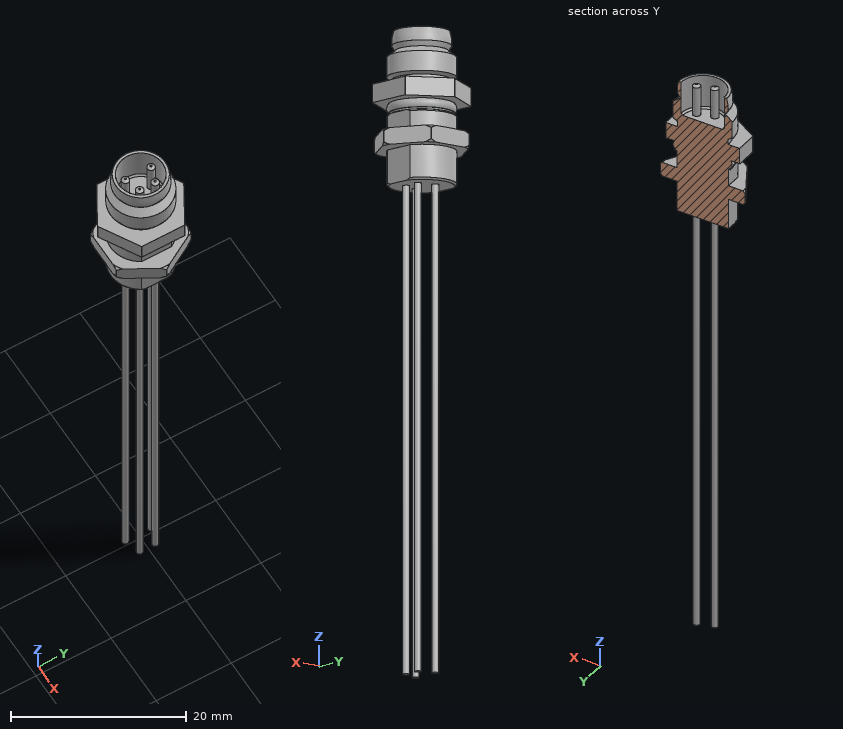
import cadquery as cq
import math

TOP = 75.0

RIM_DIA = 6.5
BEAD_DIA = 6.9
NECK_DIA = 6.15
BODY_DIA = 8.0
RELIEF_DIA = 6.9
FLARE_SAG = 0.05
BEAD_TOP = 1.2
BEAD_BOTTOM = 1.65
NECK_DEPTH = 2.25
COLLAR_TOP = 3.0
COLLAR_BOTTOM = 5.3
RELIEF_TOP = 5.6

NUT_CORNERS = 11.5
NUT_FLATS = 10.0
UPPER_NUT_TOP = 6.3
UPPER_NUT_HEIGHT = 2.2
SEAL_HEIGHT = 1.05
SEAL_EDGE_DIA = 7.65
SEAL_GROOVE_DIA = 7.4
REAR_TOP = 9.75
REAR_BOTTOM = 18.0
REAR_CHAMFER = 0.2
FLAT_WIDTH = 7.0

LOWER_NUT_TOP = 12.0
LOWER_NUT_HEIGHT = 1.95
NUT_CHAMFER_RADIAL = 0.3
NUT_CHAMFER_HEIGHT = 0.3

SOCKET_DIA = 5.8
SOCKET_DEPTH = 4.5
SOCKET_FLOOR_CHAMFER = 0.2
PIN_DIA = 1.0
PIN_RECESS = 0.4
PIN_TIP_HEIGHT = 0.2
PIN_TIP_DIA = 0.2
WIRE_DIA = 0.8
WIRE_EMBED = 0.75
CONTACT_CIRCLE_DIA = 3.6
CONTACT_ANGLES = (35, 108, -108, -35)
CONTACT_POSITIONS = [
    (
        CONTACT_CIRCLE_DIA / 2 * math.cos(math.radians(angle)),
        CONTACT_CIRCLE_DIA / 2 * math.sin(math.radians(angle)),
    )
    for angle in CONTACT_ANGLES
]


def level(depth):
    """Z height of a point lying the given depth below the rim."""
    return TOP - depth


def turned_body():
    """Revolved shell from the rim down to the rear face."""
    seal_top = UPPER_NUT_TOP + UPPER_NUT_HEIGHT
    seal_bottom = seal_top + SEAL_HEIGHT
    chamfer_radius = BODY_DIA / 2 - REAR_CHAMFER

    profile = (
        cq.Workplane("XZ")
        .moveTo(0, level(0))
        .lineTo(RIM_DIA / 2, level(0))
        .sagittaArc((BEAD_DIA / 2, level(BEAD_TOP)), FLARE_SAG)
        .lineTo(BEAD_DIA / 2, level(BEAD_BOTTOM))
        .lineTo(NECK_DIA / 2, level(NECK_DEPTH))
        .lineTo(BODY_DIA / 2, level(COLLAR_TOP))
        .lineTo(BODY_DIA / 2, level(COLLAR_BOTTOM))
        .lineTo(RELIEF_DIA / 2, level(RELIEF_TOP))
        .lineTo(RELIEF_DIA / 2, level(seal_top))
        .lineTo(SEAL_EDGE_DIA / 2, level(seal_top))
        .threePointArc(
            (BODY_DIA / 2, level((seal_top + seal_bottom) / 2)),
            (SEAL_EDGE_DIA / 2, level(seal_bottom)),
        )
        .lineTo(SEAL_GROOVE_DIA / 2, level(seal_bottom))
        .lineTo(SEAL_GROOVE_DIA / 2, level(REAR_TOP))
        .lineTo(chamfer_radius, level(REAR_TOP))
        .lineTo(BODY_DIA / 2, level(REAR_TOP + REAR_CHAMFER))
        .lineTo(BODY_DIA / 2, level(REAR_BOTTOM - REAR_CHAMFER))
        .lineTo(chamfer_radius, level(REAR_BOTTOM))
        .lineTo(0, level(REAR_BOTTOM))
        .close()
    )
    return profile.revolve(360, (0, 0, 0), (0, 1, 0))


def flat_cutters():
    """Blocks that leave two flats, facing -X and +X, on the rear body."""
    height = REAR_BOTTOM - REAR_TOP
    blocks = cq.Workplane("XY")
    for side in (1, -1):
        block = cq.Workplane("XY").box(BODY_DIA, BODY_DIA, height, centered=(True, True, False))
        blocks = blocks.add(block.translate((side * (FLAT_WIDTH + BODY_DIA) / 2, 0, level(REAR_BOTTOM))))
    return blocks.combine()


def hex_nut(top_depth, height):
    """Hexagonal prism with corners on the X axis, each trimmed to the corner diameter."""
    base = cq.Workplane("XY", origin=(0, 0, level(top_depth + height)))
    hexagon = base.polygon(6, NUT_FLATS / math.cos(math.pi / 6)).extrude(height)
    return hexagon.intersect(base.circle(NUT_CORNERS / 2).extrude(height))


def upper_nut():
    """Plain hex with corners on the Y axis."""
    return hex_nut(UPPER_NUT_TOP, UPPER_NUT_HEIGHT).rotate((0, 0, 0), (0, 0, 1), 90)


def lower_nut():
    """Hex with its corners turned down conically on both faces."""
    radius = NUT_CORNERS / 2
    face_radius = radius - NUT_CHAMFER_RADIAL
    top = level(LOWER_NUT_TOP)
    bottom = level(LOWER_NUT_TOP + LOWER_NUT_HEIGHT)
    envelope = (
        cq.Workplane("XZ")
        .moveTo(0, bottom)
        .lineTo(face_radius, bottom)
        .lineTo(radius, bottom + NUT_CHAMFER_HEIGHT)
        .lineTo(radius, top - NUT_CHAMFER_HEIGHT)
        .lineTo(face_radius, top)
        .lineTo(0, top)
        .close()
        .revolve(360, (0, 0, 0), (0, 1, 0))
    )
    return hex_nut(LOWER_NUT_TOP, LOWER_NUT_HEIGHT).intersect(envelope)


def socket():
    """Round recess around the pins, narrowing at its floor."""
    floor = cq.Workplane("XY", origin=(0, 0, level(SOCKET_DEPTH)))
    recess = floor.circle(SOCKET_DIA / 2).extrude(SOCKET_DEPTH)
    return recess.faces("<Z").chamfer(SOCKET_FLOOR_CHAMFER)


def pins():
    """Four contact pins rising from the socket floor, rooted in the body."""
    root = 2 * SOCKET_DEPTH
    return (
        cq.Workplane("XY", origin=(0, 0, level(root)))
        .pushPoints(CONTACT_POSITIONS)
        .circle(PIN_DIA / 2)
        .extrude(root - PIN_RECESS)
        .faces(">Z")
        .chamfer(PIN_TIP_HEIGHT, (PIN_DIA - PIN_TIP_DIA) / 2)
    )


def wires():
    """Four straight wires below the rear face, one in line with each pin."""
    return (
        cq.Workplane("XY")
        .pushPoints(CONTACT_POSITIONS)
        .circle(WIRE_DIA / 2)
        .extrude(level(REAR_BOTTOM) + WIRE_EMBED)
    )


result = (
    turned_body()
    .cut(flat_cutters())
    .cut(socket())
    .union(upper_nut())
    .union(lower_nut())
    .union(pins())
    .union(wires())
)